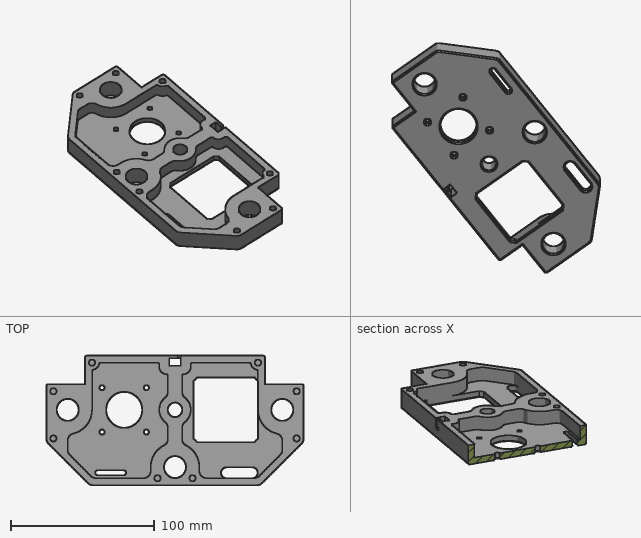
import cadquery as cq
import math

LENGTH = 180.0
THICKNESS = 15.0
BACK_Y = 38.0
FRONT_Y = -52.75
SHOULDER_Y = 18.0
BODY_HALF = 63.0
CORNER_CUT = 30.6
CUT_CORNER_RADIUS = 5.0
SHARP_CORNER_RADIUS = 1.5
BOTTOM_CHAMFER = 1.0

WALL = 5.0
FLOOR = 5.0
RIB_HALF = 5.0
PAD_HALF = 11.0
PAD_FRONT_Y = 25.0
PAD_RADIUS = 5.0
WING_POCKET_X = 75.0
POCKET_RADIUS = 5.0
BLEND_RADIUS = 5.0
SCREW_BOSS_RADIUS = 5.0
SMALL_RADIUS = 1.25

BORE_DIAMETER = 15.2
BORE_BOSS_RADIUS = 17.0
SIDE_BORE_X = 75.0
FRONT_BORE_Y = -40.0
MIDDLE_HOLE_DIAMETER = 10.0
MIDDLE_BOSS_RADIUS = 11.0

SCREW_DIAMETER = 4.4
SCREW_DEPTH = 10.0
FRONT_SCREW_X = 12.25
SIDE_SCREW_Y = (SHOULDER_Y - WALL, -20.0)

MOTOR_X = 35.5
MOTOR_DIAMETER = 25.0
MOTOR_SCREW_DIAMETER = 3.4
MOTOR_SCREW_PITCH = 31.0
WINDOW_SIZE = 45.0
WINDOW_CHAMFER = 2.5
SLOT_X = 45.0
SLOT_Y = -44.0
SLOT_TRAVEL = 18.0
NARROW_SLOT_WIDTH = 3.4
WIDE_SLOT_WIDTH = 7.5

BACK_SLOT_WIDTH = 8.0
BACK_SLOT_FRONT_Y = 31.0
BACK_SLOT_BACK_Y = 36.0
SLIT_WIDTH = 2.0
SLIT_BEND_Z = 11.0


def prism(points, bottom, top):
    return cq.Workplane("XY").workplane(offset=bottom).polyline(points).close().extrude(top - bottom)


def block(x_range, y_range, bottom, top):
    (x0, x1), (y0, y1) = x_range, y_range
    return prism([(x0, y0), (x1, y0), (x1, y1), (x0, y1)], bottom, top)


def cylinders(points, diameter, bottom, top):
    plane = cq.Workplane("XY").workplane(offset=bottom)
    return plane.pushPoints(points).circle(diameter / 2).extrude(top - bottom)


def near(x, y):
    """Selector for the upright edges passing through (x, y)."""
    reach = 0.3
    return cq.selectors.BoxSelector((x - reach, y - reach, 0), (x + reach, y + reach, THICKNESS))


def make_plate():
    half = LENGTH / 2
    right_side = [
        (half - CORNER_CUT, FRONT_Y),
        (half, FRONT_Y + CORNER_CUT),
        (half, SHOULDER_Y),
        (BODY_HALF, SHOULDER_Y),
        (BODY_HALF, BACK_Y),
    ]
    left_side = [(-x, y) for x, y in reversed(right_side)]
    plate = prism(right_side + left_side, 0, THICKNESS)
    for side in (-1, 1):
        for x, y in right_side[:2]:
            plate = plate.edges(near(side * x, y)).fillet(CUT_CORNER_RADIUS)
        for x, y in (right_side[2], right_side[4]):
            plate = plate.edges(near(side * x, y)).fillet(SHARP_CORNER_RADIUS)
    return plate


def make_pocket():
    """Right-hand pocket; the left one is its mirror image."""
    front = FRONT_Y + WALL
    back = BACK_Y - WALL
    side = BODY_HALF - WALL
    slope = LENGTH / 2 - FRONT_Y - CORNER_CUT - WALL * math.sqrt(2)
    outline = [
        (RIB_HALF, front),
        (slope + front, front),
        (WING_POCKET_X, WING_POCKET_X - slope),
        (WING_POCKET_X, 0),
        (side, 0),
        (side, back),
        (RIB_HALF, back),
    ]
    bosses = cylinders([(0, 0)], 2 * MIDDLE_BOSS_RADIUS, FLOOR, THICKNESS)
    bosses = bosses.union(
        cylinders([(SIDE_BORE_X, 0), (0, FRONT_BORE_Y)], 2 * BORE_BOSS_RADIUS, FLOOR, THICKNESS)
    )
    bosses = bosses.union(cylinders([(side, back)], 2 * SCREW_BOSS_RADIUS, FLOOR, THICKNESS))
    bosses = bosses.union(
        block((0, BORE_BOSS_RADIUS), (front, FRONT_BORE_Y), FLOOR, THICKNESS)
    )
    pad = block((0, PAD_HALF), (PAD_FRONT_Y, back), FLOOR, THICKNESS)
    pad = pad.edges(near(PAD_HALF, PAD_FRONT_Y)).fillet(PAD_RADIUS)
    pocket = prism(outline, FLOOR, THICKNESS).cut(bosses).cut(pad)

    middle_y = math.sqrt(MIDDLE_BOSS_RADIUS**2 - RIB_HALF**2)
    front_y = FRONT_BORE_Y + math.sqrt(BORE_BOSS_RADIUS**2 - RIB_HALF**2)
    for y in (middle_y, -middle_y, front_y):
        pocket = pocket.edges(near(RIB_HALF, y)).fillet(BLEND_RADIUS)
    rounded = [
        (BORE_BOSS_RADIUS, front),
        (slope + front, front),
        (WING_POCKET_X, WING_POCKET_X - slope),
        (WING_POCKET_X, -BORE_BOSS_RADIUS),
    ]
    for x, y in rounded:
        pocket = pocket.edges(near(x, y)).fillet(POCKET_RADIUS)
    square_corners = [
        (PAD_HALF, back),
        (RIB_HALF, PAD_FRONT_Y),
        (side - SCREW_BOSS_RADIUS, back),
        (side, back - SCREW_BOSS_RADIUS),
    ]
    for x, y in square_corners:
        pocket = pocket.edges(near(x, y)).fillet(SMALL_RADIUS)
    return pocket


def screw_points():
    right = [(LENGTH / 2 - WALL, y) for y in SIDE_SCREW_Y]
    right.append((BODY_HALF - WALL, BACK_Y - WALL))
    right.append((FRONT_SCREW_X, FRONT_Y + WALL))
    return right + [(-x, y) for x, y in right]


def make_bores():
    centres = [(-SIDE_BORE_X, 0), (SIDE_BORE_X, 0), (0, FRONT_BORE_Y)]
    bores = cylinders(centres, BORE_DIAMETER, 0, THICKNESS)
    return bores.union(cylinders([(0, 0)], MIDDLE_HOLE_DIAMETER, 0, THICKNESS))


def make_motor_holes():
    half = MOTOR_SCREW_PITCH / 2
    screws = [(-MOTOR_X + i * half, j * half) for i in (-1, 1) for j in (-1, 1)]
    holes = cylinders([(-MOTOR_X, 0)], MOTOR_DIAMETER, 0, THICKNESS)
    return holes.union(cylinders(screws, MOTOR_SCREW_DIAMETER, 0, THICKNESS))


def make_window():
    window = cq.Workplane("XY").center(MOTOR_X, 0).rect(WINDOW_SIZE, WINDOW_SIZE).extrude(FLOOR)
    return window.edges("|Z").chamfer(WINDOW_CHAMFER)


def make_floor_slot(x, width):
    return cq.Workplane("XY").center(x, SLOT_Y).slot2D(SLOT_TRAVEL + width, width).extrude(FLOOR)


def make_back_slot():
    half = BACK_SLOT_WIDTH / 2
    opening = block((-half, half), (BACK_SLOT_FRONT_Y, BACK_SLOT_BACK_Y), 0, THICKNESS)
    inner = half - SLIT_WIDTH
    slit = (
        cq.Workplane("XZ", origin=(0, BACK_Y, SLIT_BEND_Z))
        .moveTo(inner, 0)
        .lineTo(inner, THICKNESS - SLIT_BEND_Z)
        .lineTo(half, THICKNESS - SLIT_BEND_Z)
        .lineTo(half, 0)
        .radiusArc((0, -half), half)
        .lineTo(0, -inner)
        .radiusArc((inner, 0), -inner)
        .close()
        .extrude(BACK_Y - BACK_SLOT_BACK_Y)
    )
    return opening.union(slit)


right_pocket = make_pocket()
result = make_plate().cut(right_pocket).cut(right_pocket.mirror("YZ"))
result = result.cut(cylinders(screw_points(), SCREW_DIAMETER, THICKNESS - SCREW_DEPTH, THICKNESS))
result = result.cut(make_bores()).cut(make_motor_holes()).cut(make_window())
result = result.cut(make_floor_slot(-SLOT_X, NARROW_SLOT_WIDTH))
result = result.cut(make_floor_slot(SLOT_X, WIDE_SLOT_WIDTH))
result = result.faces("<Z").edges().chamfer(BOTTOM_CHAMFER)
result = result.cut(make_back_slot())